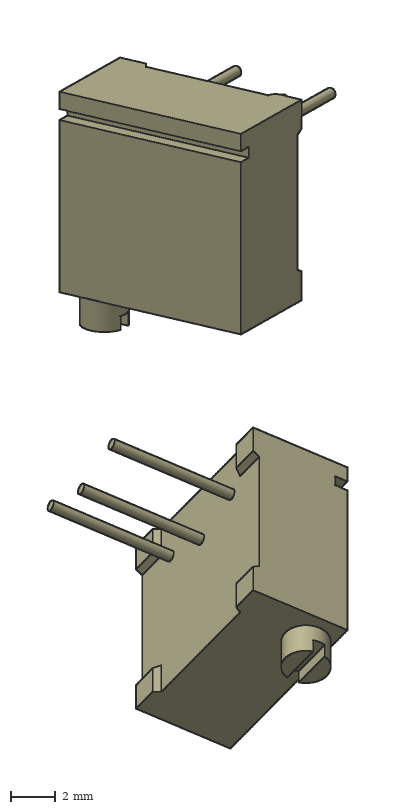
import cadquery as cq

body_width = 9.78
body_height = 9.76
body_depth = 5.1

standoff_height = 0.34
standoff_tip = 1.41
standoff_base = 1.6

groove_top_drop = 0.85
groove_width = 0.53
groove_depth = 0.67

overall_depth = 11.23
pin_diameter = 0.53
pin_pitch = 2.54
pin_center_x = -0.02
outer_pin_drop = 2.19
middle_pin_drop = 3.03

overall_height = 11.28
screw_diameter = 2.26
screw_x = -3.2
screw_y = 1.15
screw_slot_width = 0.62
screw_slot_depth = 0.68

half_width = body_width / 2
half_height = body_height / 2
recess_y = body_depth - standoff_height
screw_length = overall_height - body_height


def back_channel(plane, half_span, length):
    """Channel with sloping walls, drawn on a plane whose second axis is Y."""
    tip = half_span - standoff_tip
    base = half_span - standoff_base
    outline = [(-tip, body_depth), (-base, recess_y), (base, recess_y), (tip, body_depth)]
    return cq.Workplane(plane).polyline(outline).close().extrude(length / 2, both=True)


def make_body():
    body = cq.Workplane("XY").box(body_width, body_depth, body_height, centered=(True, False, False))
    upright = back_channel("XY", half_width, body_height).translate((0, 0, half_height))
    crosswise = back_channel("ZY", half_height, body_width).translate((0, 0, half_height))
    groove = cq.Workplane("XY").box(
        body_width, groove_depth, groove_width, centered=(True, False, False)
    ).translate((0, 0, body_height - groove_top_drop - groove_width))
    return body.cut(upright).cut(crosswise).cut(groove)


def make_pin(x, drop):
    root_y = recess_y - standoff_height
    return (
        cq.Workplane("XZ", origin=(x, root_y, body_height - drop))
        .circle(pin_diameter / 2)
        .extrude(root_y - overall_depth)
    )


def make_screw():
    screw = (
        cq.Workplane("XY", origin=(screw_x, screw_y, 0))
        .circle(screw_diameter / 2)
        .extrude(-screw_length)
    )
    slot = cq.Workplane("XY").box(
        screw_diameter, screw_slot_width, screw_slot_depth, centered=(True, True, False)
    ).translate((screw_x, screw_y, -screw_length))
    return screw.cut(slot)


result = make_body().union(make_screw())
for step, drop in ((-1, outer_pin_drop), (0, middle_pin_drop), (1, outer_pin_drop)):
    result = result.union(make_pin(pin_center_x + step * pin_pitch, drop))